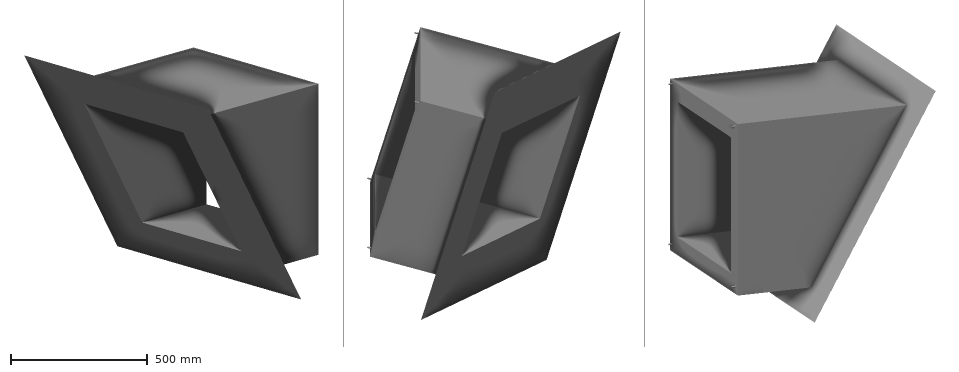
import cadquery as cq
import math

flange_side = 955.0
flange_thickness = 1.0
flange_tilt = 30.0

duct_side = 651.0
opening_side = 515.0
duct_back_y = 718.0

pin_diameter = 6.0
pin_length = 15.0
pin_spacing = 608.0
pin_pattern_rise = 8.0

tilt = math.radians(flange_tilt)
run = flange_side * math.sin(tilt)
rise = flange_side * math.cos(tilt)
thickness_y = flange_thickness * math.cos(tilt)
thickness_z = flange_thickness * math.sin(tilt)
half_height = (rise + thickness_z) / 2


def prism_across_x(points, width):
    """Extrude a (Y, Z) outline symmetrically across X."""
    return cq.Workplane("YZ").polyline(points).close().extrude(width / 2, both=True)


def front_face_y(z):
    """Y position of the sloped front face at height z."""
    return (half_height - z) * math.tan(tilt)


def make_flange():
    top_front = (0, half_height)
    bottom_front = (run, half_height - rise)
    bottom_back = (run + thickness_y, -half_height)
    top_back = (thickness_y, half_height - thickness_z)
    return prism_across_x([top_front, bottom_front, bottom_back, top_back], flange_side)


def make_duct():
    half = duct_side / 2
    outline = [
        (front_face_y(half), half),
        (duct_back_y, half),
        (duct_back_y, -half),
        (front_face_y(-half), -half),
    ]
    return prism_across_x(outline, duct_side)


def make_opening():
    return cq.Workplane("XY").box(
        opening_side, duct_back_y, opening_side, centered=(True, False, True)
    )


def make_pins():
    return (
        cq.Workplane("XZ", origin=(0, duct_back_y, pin_pattern_rise))
        .rarray(pin_spacing, pin_spacing, 2, 2)
        .circle(pin_diameter / 2)
        .extrude(-pin_length)
    )


result = make_flange().union(make_duct()).cut(make_opening()).union(make_pins())